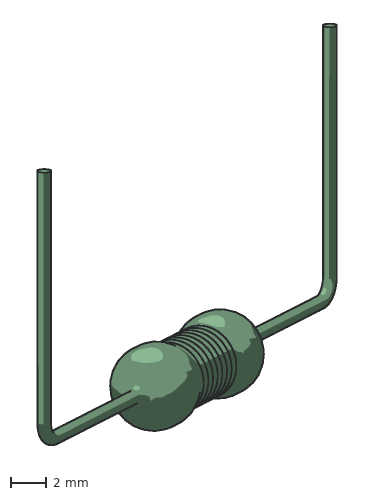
import cadquery as cq
import math

LEAD_PITCH = 35.0
LEAD_DIAMETER = 0.8
LEAD_TOP = 16.1
BEND_RADIUS = 1.2

CAP_DIAMETER = 5.0
NECK_DIAMETER = 4.25
BAND_DIAMETER = 4.27
NECK_HALF_LENGTH = 2.0
WAVE_LENGTH = 0.75
CAP_BAND_LENGTH = 0.75
CAP_ROUND_RADIUS = 1.75
FLARE_RADIUS = 0.5

BAND_COUNT = 4
BAND_WIDTH = 2 * NECK_HALF_LENGTH / (2 * BAND_COUNT - 1)

lead_radius = LEAD_DIAMETER / 2
cap_radius = CAP_DIAMETER / 2
neck_radius = NECK_DIAMETER / 2
wave_middle = NECK_HALF_LENGTH + WAVE_LENGTH
cap_start = wave_middle + WAVE_LENGTH
cap_round_start = cap_start + CAP_BAND_LENGTH

cap_round_center = cap_radius - CAP_ROUND_RADIUS
flare_center = lead_radius + FLARE_RADIUS
centers_offset = flare_center - cap_round_center
centers_distance = CAP_ROUND_RADIUS + FLARE_RADIUS
tilt = math.asin(centers_offset / centers_distance)
flare_end = cap_round_start + centers_distance * math.cos(tilt)
half_pitch = LEAD_PITCH / 2


def body_half():
    """Half of the body, from its middle plane to the tip of the lead flare on +Y."""
    half_step = (cap_radius - neck_radius) / 2
    wave_radius = (WAVE_LENGTH**2 + half_step**2) / (2 * half_step)
    half_angle = math.asin(WAVE_LENGTH / wave_radius) / 2
    arc_run = wave_radius * math.sin(half_angle)
    arc_rise = wave_radius * (1 - math.cos(half_angle))

    arc_mid_angle = (math.pi / 2 + tilt) / 2
    cap_round_mid = (
        cap_round_center + CAP_ROUND_RADIUS * math.sin(arc_mid_angle),
        cap_round_start + CAP_ROUND_RADIUS * math.cos(arc_mid_angle),
    )
    flare_start = (
        cap_round_center + CAP_ROUND_RADIUS * math.sin(tilt),
        cap_round_start + CAP_ROUND_RADIUS * math.cos(tilt),
    )
    flare_mid = (
        flare_center - FLARE_RADIUS * math.sin(arc_mid_angle),
        flare_end - FLARE_RADIUS * math.cos(arc_mid_angle),
    )

    return (
        cq.Workplane("XY")
        .moveTo(0, 0)
        .lineTo(neck_radius, 0)
        .lineTo(neck_radius, NECK_HALF_LENGTH)
        .threePointArc(
            (neck_radius + arc_rise, NECK_HALF_LENGTH + arc_run),
            (neck_radius + half_step, wave_middle),
        )
        .threePointArc(
            (cap_radius - arc_rise, cap_start - arc_run),
            (cap_radius, cap_start),
        )
        .lineTo(cap_radius, cap_round_start)
        .threePointArc(cap_round_mid, flare_start)
        .threePointArc(flare_mid, (lead_radius, flare_end))
        .lineTo(0, flare_end)
        .close()
        .revolve(360, (0, 0, 0), (0, 1, 0))
    )


def colour_band(start):
    """Thin raised ring around the neck, beginning at the given Y."""
    return (
        cq.Workplane("XZ", origin=(0, start, 0))
        .circle(BAND_DIAMETER / 2)
        .extrude(-BAND_WIDTH)
    )


def lead():
    """Bent wire that leaves the body along +Y and turns up to +Z."""
    bend_shift = BEND_RADIUS * (1 - math.sqrt(0.5))
    path = (
        cq.Workplane("YZ")
        .moveTo(flare_end, 0)
        .lineTo(half_pitch - BEND_RADIUS, 0)
        .threePointArc((half_pitch - bend_shift, bend_shift), (half_pitch, BEND_RADIUS))
        .lineTo(half_pitch, LEAD_TOP)
    )
    wire_section = cq.Workplane("XZ", origin=(0, flare_end, 0)).circle(lead_radius)
    return wire_section.sweep(path)


half_resistor = body_half().union(lead())
result = half_resistor.union(half_resistor.rotate((0, 0, 0), (0, 0, 1), 180))

for index in range(BAND_COUNT):
    band_start = -NECK_HALF_LENGTH + 2 * index * BAND_WIDTH
    result = result.union(colour_band(band_start))